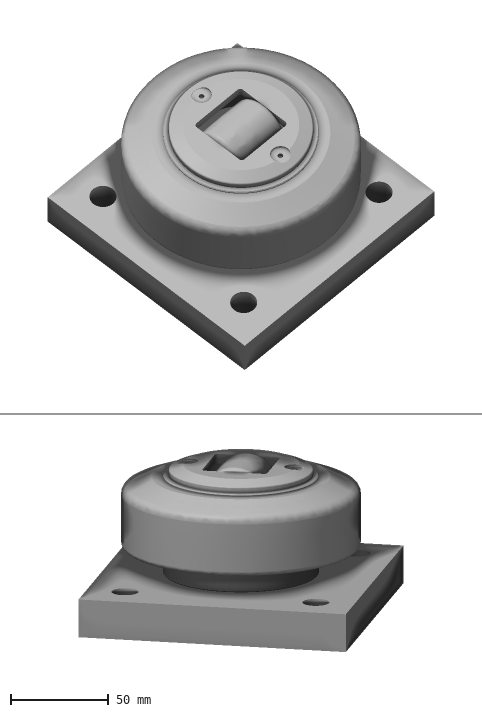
import cadquery as cq
import math

PLATE_SIDE = 140.0
PLATE_THICKNESS = 20.0
MOUNT_HOLE_DIA = 13.9
MOUNT_HOLE_SPACING = 100.0

CONE_ANGLE = 20.0

CONE_CORNER = ">>Z[-3]"

AXLE_DIA = 80.0
AXLE_FLANGE_HEIGHT = 13.0
AXLE_EDGE_CHAMFER = 0.49
RACE_OVERHANG = 1.0

ROLLER_WIDTH = 37.0
ROLLER_DIA = 123.0
ROLLER_TOP_FLAT_DIA = 91.5
ROLLER_TOP_FILLET = 5.0
ROLLER_BOTTOM_FILLET = 2.5
CROWN_RADIUS = 700.0

CAP_DIA = 74.0
CAP_TOP_DIA = 59.6
CAP_RIM_FILLET = 1.0
CAP_TOP_Z = 77.5

TOTAL_HEIGHT = 79.5
SIDE_ROLLER_DIA = 34.0
SIDE_ROLLER_FILLET = 3.0
WINDOW_SIDE = SIDE_ROLLER_DIA
WINDOW_CORNER_RADIUS = 2.0
WINDOW_DEPTH = 5.0
CAVITY_DIA = 48.0

SCREW_SPACING = 56.0
SCREW_RECESS_DIA = 10.5
SCREW_HEAD_DIA = 9.8
SCREW_RECESS_DEPTH = 1.3
SCREW_SOCKET_DIA = 3.0
SCREW_SOCKET_DEPTH = 2.0

RACE_BOTTOM_Z = PLATE_THICKNESS + AXLE_FLANGE_HEIGHT
ROLLER_BOTTOM_Z = RACE_BOTTOM_Z + RACE_OVERHANG
ROLLER_TOP_Z = ROLLER_BOTTOM_Z + ROLLER_WIDTH
ROLLER_MID_Z = ROLLER_BOTTOM_Z + ROLLER_WIDTH / 2
RACE_TOP_Z = ROLLER_TOP_Z + RACE_OVERHANG
SIDE_ROLLER_AXIS_Z = TOTAL_HEIGHT - SIDE_ROLLER_DIA / 2


def disc(diameter, bottom_z, top_z):
    """Upright cylinder on the bearing axis."""
    return cq.Workplane("XY").workplane(offset=bottom_z).circle(diameter / 2).extrude(top_z - bottom_z)


def crowned_radius(max_radius, distance):
    """Radius of a barrel-shaped surface at a distance from its widest section."""
    return max_radius - CROWN_RADIUS + math.sqrt(CROWN_RADIUS**2 - distance**2)


def make_plate():
    plate = cq.Workplane("XY").box(PLATE_SIDE, PLATE_SIDE, PLATE_THICKNESS, centered=(True, True, False))
    return (
        plate.faces(">Z").workplane()
        .rect(MOUNT_HOLE_SPACING, MOUNT_HOLE_SPACING, forConstruction=True)
        .vertices().hole(MOUNT_HOLE_DIA)
    )


def make_axle():
    """Flange standing on the plate, with the inner race of the same diameter above it."""
    flange = disc(AXLE_DIA, PLATE_THICKNESS, RACE_BOTTOM_Z)
    flange = flange.faces("<Z").edges().chamfer(AXLE_EDGE_CHAMFER)
    race = disc(AXLE_DIA, RACE_BOTTOM_Z, RACE_TOP_Z)
    race = race.faces("<Z or >Z").edges().chamfer(AXLE_EDGE_CHAMFER)
    return flange.union(race)


def make_main_roller():
    max_radius = ROLLER_DIA / 2
    flat_radius = ROLLER_TOP_FLAT_DIA / 2
    cone_drop = (max_radius - flat_radius) * math.tan(math.radians(CONE_ANGLE))
    cone_bottom_z = ROLLER_TOP_Z - cone_drop
    lower_radius = crowned_radius(max_radius, ROLLER_MID_Z - ROLLER_BOTTOM_Z)
    upper_radius = crowned_radius(max_radius, cone_bottom_z - ROLLER_MID_Z)
    roller = (
        cq.Workplane("XZ")
        .moveTo(0, ROLLER_BOTTOM_Z)
        .lineTo(lower_radius, ROLLER_BOTTOM_Z)
        .threePointArc((max_radius, ROLLER_MID_Z), (upper_radius, cone_bottom_z))
        .lineTo(flat_radius, ROLLER_TOP_Z)
        .lineTo(0, ROLLER_TOP_Z)
        .close()
        .revolve(360, (0, 0, 0), (0, 1, 0))
    )
    roller = roller.edges("<Z").fillet(ROLLER_BOTTOM_FILLET)
    return roller.edges(CONE_CORNER).fillet(ROLLER_TOP_FILLET)


def make_cap():
    rim_width = (CAP_DIA - CAP_TOP_DIA) / 2
    cone_drop = rim_width * math.tan(math.radians(CONE_ANGLE))
    cap = disc(CAP_DIA, RACE_TOP_Z, CAP_TOP_Z)
    cap = cap.faces(">Z").edges().chamfer(cone_drop, rim_width)
    return cap.edges(CONE_CORNER).fillet(CAP_RIM_FILLET)


def make_roller_cavity():
    """Square window with a wider round cavity below it, down to the side roller's axis."""
    window_bottom_z = CAP_TOP_Z - WINDOW_DEPTH
    window = (
        cq.Workplane("XY").workplane(offset=window_bottom_z)
        .rect(WINDOW_SIDE, WINDOW_SIDE).extrude(WINDOW_DEPTH)
        .edges("|Z").fillet(WINDOW_CORNER_RADIUS)
    )
    return window.union(disc(CAVITY_DIA, SIDE_ROLLER_AXIS_Z, window_bottom_z))


def make_side_roller():
    """Exposed upper half of the crowned roller whose axis runs along Y."""
    half_length = WINDOW_SIDE / 2
    max_radius = SIDE_ROLLER_DIA / 2
    end_radius = crowned_radius(max_radius, half_length)
    roller = (
        cq.Workplane("XY").workplane(offset=SIDE_ROLLER_AXIS_Z)
        .moveTo(0, -half_length)
        .lineTo(end_radius, -half_length)
        .threePointArc((max_radius, 0), (end_radius, half_length))
        .lineTo(0, half_length)
        .close()
        .revolve(360, (0, 0, 0), (0, 1, 0))
    )
    roller = roller.faces("<Y or >Y").edges().fillet(SIDE_ROLLER_FILLET)
    upper_half = disc(CAVITY_DIA, SIDE_ROLLER_AXIS_Z, TOTAL_HEIGHT)
    return roller.intersect(upper_half)


def make_screw_recess(x):
    """Round screw recess, bevelled around its floor, with the socket of the screw head in its floor."""
    floor_z = CAP_TOP_Z - SCREW_RECESS_DEPTH
    recess = disc(SCREW_RECESS_DIA, floor_z, CAP_TOP_Z)
    recess = recess.faces("<Z").edges().chamfer((SCREW_RECESS_DIA - SCREW_HEAD_DIA) / 2)
    socket = disc(SCREW_SOCKET_DIA, floor_z - SCREW_SOCKET_DEPTH, floor_z)
    return recess.union(socket).translate((x, 0, 0))


def make_bearing():
    bearing = make_axle().union(make_main_roller()).union(make_cap())
    bearing = bearing.cut(make_roller_cavity()).union(make_side_roller())
    for side in (-1, 1):
        bearing = bearing.cut(make_screw_recess(side * SCREW_SPACING / 2))
    return bearing


plate = make_plate()
bearing = make_bearing()

result = cq.Compound.makeCompound([plate.solids().val(), bearing.solids().val()])